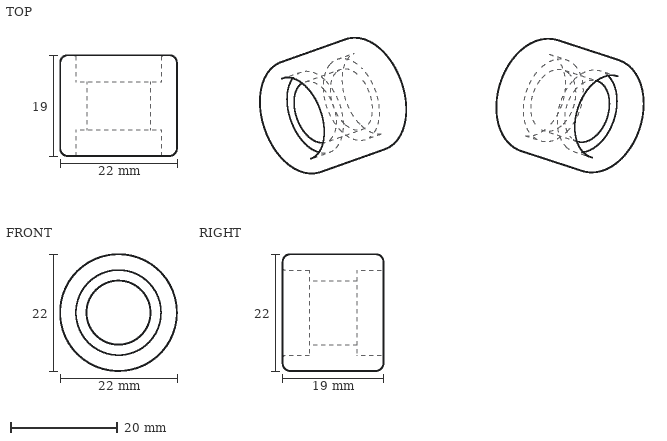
import cadquery as cq

length = 19.0
outer_diameter = 22.0
bore_diameter = 12.0
counterbore_diameter = 16.0
counterbore_depth = 5.0
outer_edge_radius = 1.5
mouth_edge_radius = 0.5

web_length = length - 2 * counterbore_depth


def centred_cylinder(diameter, cylinder_length):
    """Solid cylinder along Y, centred on the origin."""
    return cq.Workplane("XZ").circle(diameter / 2).extrude(cylinder_length / 2, both=True)


def make_body():
    """Outer cylinder with both rims rounded."""
    body = centred_cylinder(outer_diameter, length)
    return body.faces("<Y or >Y").edges().fillet(outer_edge_radius)


def cut_bore(body):
    """Through bore along the whole sleeve."""
    return body.cut(centred_cylinder(bore_diameter, length))


def cut_counterbores(body):
    """Counterbores in both ends, leaving a central web around the bore."""
    counterbores = centred_cylinder(counterbore_diameter, length)
    web = centred_cylinder(counterbore_diameter, web_length)
    return body.cut(counterbores.cut(web))


def round_counterbore_mouth(body, end_face):
    """Small rounding where a counterbore meets its end face."""
    inner_edge = cq.selectors.RadiusNthSelector(0)
    return body.faces(end_face).edges(inner_edge).fillet(mouth_edge_radius)


result = cut_counterbores(cut_bore(make_body()))
for end_face in ("<Y", ">Y"):
    result = round_counterbore_mouth(result, end_face)